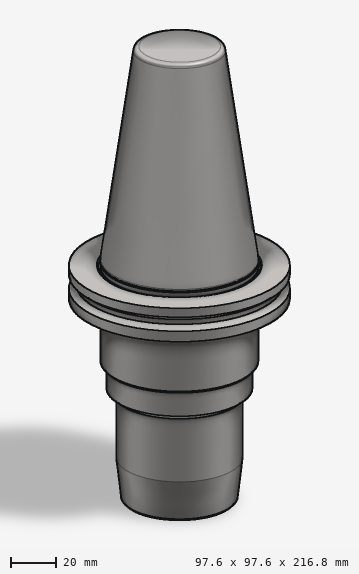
import cadquery as cq

total_height = 216.8
gauge_z = 115.0
flange_top_z = 111.8
flange_bottom_z = 95.8

gauge_radius = 35.0
taper_slope = 7 / 48
taper_tip_radius = gauge_radius - taper_slope * (total_height - gauge_z)
tip_fillet = 2.4

neck_radius = 34.2
neck_top_z = 114.0
neck_bottom_z = 113.4
recess_radius = 36.5
recess_floor_radius = 35.8
recess_depth = 0.7

flange_radius = 48.8
groove_floor_radius = 45.5
groove_top_z = 107.5
groove_floor_top_z = 105.1
groove_floor_bottom_z = 102.7
groove_bottom_z = 100.8

body_radius = 35.0
body_bottom_z = 64.8
body_chamfer = 1.3
collar_radius = 32.3
collar_bottom_z = 50.5
collar_chamfer_height = 2.5
collar_chamfer_width = 3.3

nose_radius = 28.0
nose_cone_top_z = 20.0
nose_tip_radius = 25.8
nose_chamfer = 1.0


def nose_points():
    """Outline from the nose end up to the underside of the collar."""
    return [
        (0, 0),
        (nose_tip_radius - nose_chamfer, 0),
        (nose_tip_radius, nose_chamfer),
        (nose_radius, nose_cone_top_z),
        (nose_radius, collar_bottom_z),
    ]


def body_points():
    """Outline of the collar and body up to the flange."""
    return [
        (collar_radius - collar_chamfer_width, collar_bottom_z),
        (collar_radius, collar_bottom_z + collar_chamfer_height),
        (collar_radius, body_bottom_z),
        (body_radius - body_chamfer, body_bottom_z),
        (body_radius, body_bottom_z + body_chamfer),
        (body_radius, flange_bottom_z),
    ]


def flange_points():
    """Outline of the grooved flange, ending inside the recess in its top."""
    recess_floor_z = flange_top_z - recess_depth
    return [
        (flange_radius, flange_bottom_z),
        (flange_radius, groove_bottom_z),
        (groove_floor_radius, groove_floor_bottom_z),
        (groove_floor_radius, groove_floor_top_z),
        (flange_radius, groove_top_z),
        (flange_radius, flange_top_z),
        (recess_radius, flange_top_z),
        (recess_floor_radius, recess_floor_z),
        (gauge_radius, recess_floor_z),
    ]


def taper_points():
    """Outline of the neck relief and the machine taper up to its tip."""
    return [
        (gauge_radius, neck_bottom_z),
        (neck_radius, neck_bottom_z),
        (neck_radius, neck_top_z),
        (gauge_radius, neck_top_z),
        (gauge_radius, gauge_z),
        (taper_tip_radius, total_height),
        (0, total_height),
    ]


outline = nose_points() + body_points() + flange_points() + taper_points()
profile = cq.Workplane("XZ").polyline(outline).close()
holder = profile.revolve(360, (0, 0), (0, 1))
result = holder.faces(">Z").edges().fillet(tip_fillet)